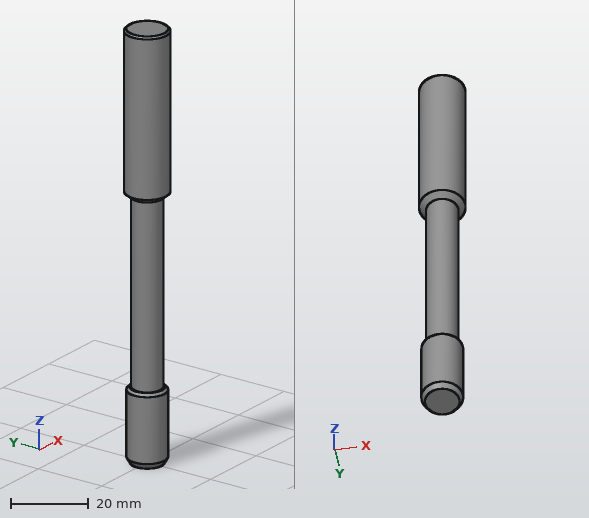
import cadquery as cq

total_length = 120.0
handle_diameter = 12.0
neck_diameter = 8.4
head_diameter = 10.8

head_shoulder_height = 20.2
handle_start_height = 75.0

tip_chamfer_width = 1.0
tip_chamfer_height = 1.7
head_shoulder_chamfer = 0.8
handle_top_chamfer = 0.6
handle_taper_height = 1.5

handle_radius = handle_diameter / 2
neck_radius = neck_diameter / 2
head_radius = head_diameter / 2

head_top = head_shoulder_height + head_shoulder_chamfer


def revolve_profile(points):
    """Turn a closed (radius, height) profile about the Z axis."""
    return cq.Workplane("XZ").polyline(points).close().revolve(360, (0, 0), (0, 1))


def make_head():
    """Cutting head with a chamfered tip and a chamfered shoulder."""
    return revolve_profile([
        (0, 0),
        (head_radius - tip_chamfer_width, 0),
        (head_radius, tip_chamfer_height),
        (head_radius, head_shoulder_height),
        (head_radius - head_shoulder_chamfer, head_top),
        (0, head_top),
    ])


def make_shank():
    """Slim neck that stands on the head and widens into the handle."""
    return revolve_profile([
        (0, head_top),
        (neck_radius, head_top),
        (neck_radius, handle_start_height - handle_taper_height),
        (handle_radius, handle_start_height),
        (handle_radius, total_length - handle_top_chamfer),
        (handle_radius - handle_top_chamfer, total_length),
        (0, total_length),
    ])


head = make_head()
shank = make_shank()

result = cq.Compound.makeCompound([head.val(), shank.val()])